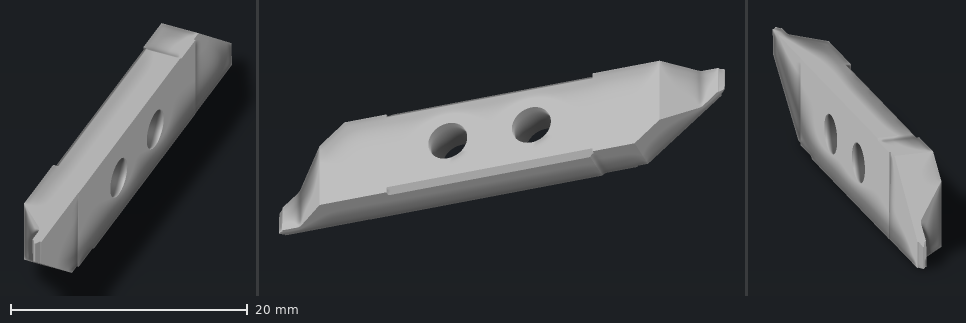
import cadquery as cq
import math


THICKNESS = 3.6
LENGTH = 40.0
HEIGHT = 8.0

HALF_THICKNESS = THICKNESS / 2
HALF_LENGTH = LENGTH / 2
HALF_HEIGHT = HEIGHT / 2

RELIEF_DEPTH = 0.2
RELIEF_START = 9.33
RAMP_RADIUS = 0.7
SLOPE_START = 13.0
SLOPE_ANGLE = 40.0
RAKE_START = 18.95
RAKE_ANGLE = 1.0

SHANK_HALF_LENGTH = 12.0
SHOULDER_START = 15.25
SIDE_RELIEF = 0.03
NECK_WIDTH = 0.84
CLEARANCE_ANGLE = 1.0
NOSE_LENGTH = 0.42
NOSE_BASE_WIDTH = 0.58
NOSE_SIDE_ANGLE = 30.0
NECK_FILLET = 0.6
OVERLAP = 0.4

CHAMFER_SIZE = 0.5
CHAMFER_HALF_LENGTH = 9.25
HOLE_DIAMETER = 3.5
HOLE_SPACING = 7.5

NECK_OUTER_X = HALF_THICKNESS - SIDE_RELIEF
NECK_X = NECK_OUTER_X - NECK_WIDTH


def half_turn(shape):
    """Turn a shape by 180 degrees about X, taking one end to the other."""
    return shape.rotate((0, 0, 0), (1, 0, 0), 180)


def make_shank():
    return cq.Workplane("XY").box(THICKNESS, 2 * SHANK_HALF_LENGTH, HEIGHT)


def make_neck():
    """Neck with a tapered nose of the +Y end, narrowing upwards from its cutting edge."""
    ledge = (NECK_WIDTH - NOSE_BASE_WIDTH) / 2
    nose_inset = ledge + NOSE_LENGTH * math.tan(math.radians(NOSE_SIDE_ANGLE))
    rear_y = SHANK_HALF_LENGTH - OVERLAP
    corner_y = HALF_LENGTH - NOSE_LENGTH
    outline = [
        (NECK_OUTER_X, rear_y),
        (NECK_OUTER_X, corner_y),
        (NECK_OUTER_X - ledge, corner_y),
        (NECK_OUTER_X - nose_inset, HALF_LENGTH),
        (NECK_X + nose_inset, HALF_LENGTH),
        (NECK_X + ledge, corner_y),
        (NECK_X, corner_y),
        (NECK_X, rear_y),
    ]
    return (
        cq.Workplane("XY", origin=(0, 0, -HALF_HEIGHT))
        .polyline(outline)
        .close()
        .extrude(HEIGHT, taper=CLEARANCE_ANGLE)
    )


def make_shoulder():
    """Block with a 45 degree flank that leads from the shank to the neck."""
    inner_x = NECK_X + OVERLAP
    rear_y = SHANK_HALF_LENGTH - OVERLAP
    outline = [
        (-HALF_THICKNESS, rear_y),
        (-HALF_THICKNESS, SHOULDER_START),
        (inner_x, SHOULDER_START + inner_x + HALF_THICKNESS),
        (inner_x, rear_y),
    ]
    return (
        cq.Workplane("XY", origin=(0, 0, -HALF_HEIGHT))
        .polyline(outline)
        .close()
        .extrude(HEIGHT)
    )


def make_end():
    """Cutting end on the +Y side, with a fillet where the shoulder meets the neck."""
    corner_y = SHOULDER_START + NECK_X + HALF_THICKNESS
    corner_edge = cq.selectors.BoxSelector(
        (NECK_X - OVERLAP, corner_y - OVERLAP, -HALF_HEIGHT / 2),
        (NECK_X + OVERLAP, corner_y + OVERLAP, HALF_HEIGHT / 2),
    )
    return make_neck().union(make_shoulder()).edges(corner_edge).fillet(NECK_FILLET)


def make_relief_cutter():
    """Space above the +Y end: ramp, lowered seat and slope."""
    seat_z = HALF_HEIGHT - RELIEF_DEPTH
    ramp_angle = math.acos(1 - RELIEF_DEPTH / RAMP_RADIUS)
    ramp_top_y = RELIEF_START - RAMP_RADIUS * math.sin(ramp_angle)
    ramp_mid_y = RELIEF_START - RAMP_RADIUS * math.sin(ramp_angle / 2)
    ramp_mid_z = seat_z + RAMP_RADIUS * (1 - math.cos(ramp_angle / 2))
    slope_drop = (HALF_LENGTH - SLOPE_START) * math.tan(math.radians(SLOPE_ANGLE))
    return (
        cq.Workplane("YZ")
        .moveTo(ramp_top_y, HALF_HEIGHT)
        .threePointArc((ramp_mid_y, ramp_mid_z), (RELIEF_START, seat_z))
        .lineTo(SLOPE_START, seat_z)
        .lineTo(HALF_LENGTH, seat_z - slope_drop)
        .lineTo(HALF_LENGTH, HALF_HEIGHT)
        .close()
        .extrude(HALF_THICKNESS, both=True)
    )


def make_rake_cutter():
    """Thin wedge that gives the bottom face of the +Y point its rake."""
    rake_drop = (HALF_LENGTH - RAKE_START) * math.tan(math.radians(RAKE_ANGLE))
    outline = [
        (RAKE_START, -HALF_HEIGHT),
        (HALF_LENGTH, -HALF_HEIGHT),
        (HALF_LENGTH, -HALF_HEIGHT + rake_drop),
    ]
    return (
        cq.Workplane("YZ")
        .polyline(outline)
        .close()
        .extrude(HALF_THICKNESS, both=True)
    )


def make_chamfer_cutter():
    """Triangular bar along the upper edge of the -X face."""
    outline = [
        (-HALF_THICKNESS, HALF_HEIGHT),
        (-HALF_THICKNESS + CHAMFER_SIZE, HALF_HEIGHT),
        (-HALF_THICKNESS, HALF_HEIGHT - CHAMFER_SIZE),
    ]
    return (
        cq.Workplane("XZ")
        .polyline(outline)
        .close()
        .extrude(CHAMFER_HALF_LENGTH, both=True)
    )


def make_holes():
    half_spacing = HOLE_SPACING / 2
    return (
        cq.Workplane("YZ")
        .pushPoints([(-half_spacing, 0), (half_spacing, 0)])
        .circle(HOLE_DIAMETER / 2)
        .extrude(HALF_THICKNESS, both=True)
    )


end = make_end()
result = make_shank().union(end).union(half_turn(end))

for cutter in (make_relief_cutter(), make_rake_cutter(), make_chamfer_cutter()):
    result = result.cut(cutter).cut(half_turn(cutter))

result = result.cut(make_holes())